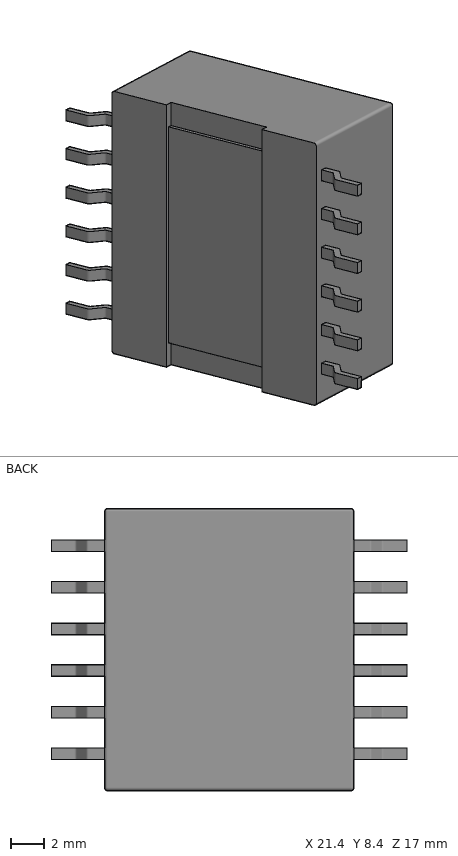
import cadquery as cq
import math

total_width = 21.4

body_width = 15.0
body_depth = 8.15
body_height = 17.0
body_fillet = 0.2

channel_width = 7.0
channel_depth = 0.5
pad_length = 14.0
pad_height = 0.25

leads_per_side = 6
lead_pitch = 2.5
lead_width = 0.7
lead_thickness = 0.4
lead_clearance = 0.25
lead_rise = 0.81
foot_length = 1.67
ramp_run = 0.68
foot_outer_radius = 0.25
bend_radius = 0.17


def make_body():
    block = cq.Workplane("XY").box(
        body_width, body_depth, body_height, centered=(True, False, True)
    )
    block = block.edges("|Y or >Y").fillet(body_fillet)
    channel = cq.Workplane("XY").box(
        channel_width, channel_depth, body_height, centered=(True, False, True)
    )
    pad = (
        cq.Workplane("XY")
        .box(channel_width, pad_height, pad_length, centered=(True, False, True))
        .translate((0, channel_depth - pad_height, 0))
    )
    return block.cut(channel).union(pad)


def make_left_lead():
    tip_x = -total_width / 2
    body_x = -body_width / 2
    foot_bottom = -lead_clearance
    foot_top = foot_bottom + lead_thickness
    shoulder_bottom = foot_bottom + lead_rise
    shoulder_top = shoulder_bottom + lead_thickness

    ramp_angle = math.atan2(lead_rise, ramp_run)
    corner_shift = lead_thickness * math.tan(ramp_angle / 2)
    ramp_start_x = tip_x + foot_length
    ramp_end_x = ramp_start_x + ramp_run

    foot_outer = (ramp_start_x, foot_bottom)
    shoulder_inner = (ramp_end_x, shoulder_bottom)
    shoulder_outer = (ramp_end_x - corner_shift, shoulder_top)
    foot_inner = (ramp_start_x - corner_shift, foot_top)

    lead = (
        cq.Workplane("XY")
        .polyline([
            (tip_x, foot_bottom),
            foot_outer,
            shoulder_inner,
            (body_x, shoulder_bottom),
            (body_x, shoulder_top),
            shoulder_outer,
            foot_inner,
            (tip_x, foot_top),
        ])
        .close()
        .extrude(lead_width / 2, both=True)
    )
    bends = [
        (foot_outer, foot_outer_radius),
        (shoulder_outer, bend_radius),
        (foot_inner, bend_radius),
        (shoulder_inner, bend_radius),
    ]
    for (x, y), radius in bends:
        bend_edge = cq.NearestToPointSelector((x, y, 0))
        lead = lead.edges("|Z").edges(bend_edge).fillet(radius)
    return lead


result = make_body()
left_lead = make_left_lead()
right_lead = left_lead.mirror("YZ")
for index in range(leads_per_side):
    lead_z = (index - (leads_per_side - 1) / 2) * lead_pitch
    result = result.union(left_lead.translate((0, 0, lead_z)))
    result = result.union(right_lead.translate((0, 0, lead_z)))